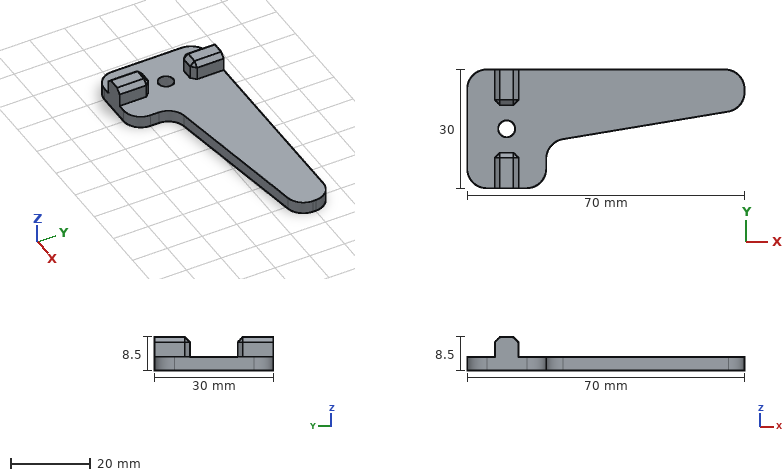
import cadquery as cq

plate_thickness = 3.5
head_width = 20.0
head_depth = 30.0
total_length = 70.0
corner_radius = 5.0

arm_tip_width = 10.0
arm_slope = 1 / 6
arm_tip_y = head_depth - arm_tip_width
arm_root_y = arm_tip_y - arm_slope * (total_length - head_width)

hole_diameter = 4.2
hole_x = head_width / 2
hole_y = head_depth / 2

total_height = 8.5
peg_width = 6.0
peg_length = 9.0
peg_chamfer = 1.3


def make_plate():
    outline = [
        (0, 0),
        (head_width, 0),
        (head_width, arm_root_y),
        (total_length, arm_tip_y),
        (total_length, head_depth),
        (0, head_depth),
    ]
    plate = cq.Workplane("XY").polyline(outline).close().extrude(plate_thickness)
    return plate.edges("|Z").fillet(corner_radius)


def make_front_peg():
    """Peg with its sides, top and inner end bevelled and its outer end left square."""
    block = cq.Workplane("XY").box(peg_width, peg_length, total_height, centered=(True, False, False))
    peg = block.translate((hole_x, 0, 0))
    inner_end_and_top = peg.edges("(|Z and >Y) or (|Y and >Z) or (|X and >Y and >Z)")
    return inner_end_and_top.chamfer(peg_chamfer)


def make_hole():
    return cq.Workplane("XY").center(hole_x, hole_y).circle(hole_diameter / 2).extrude(plate_thickness)


front_peg = make_front_peg()
back_peg = front_peg.mirror("XZ", (0, hole_y, 0))

result = make_plate().union(front_peg).union(back_peg).cut(make_hole())